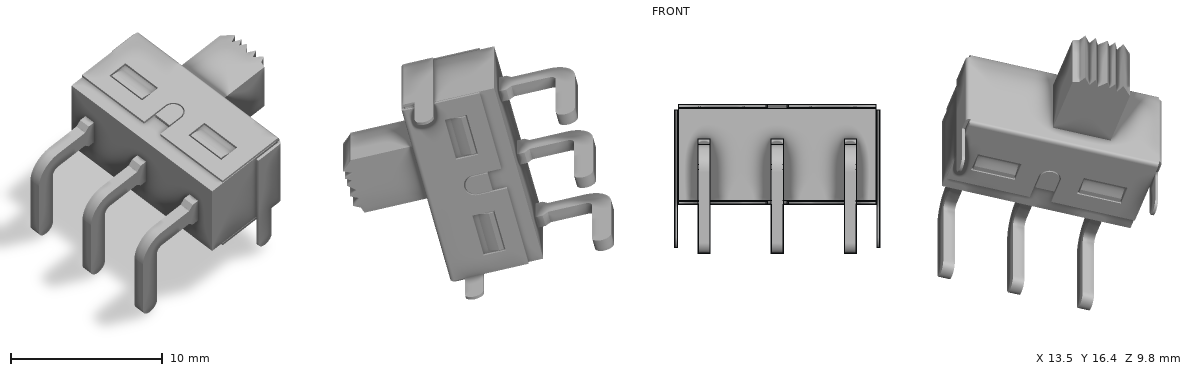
import cadquery as cq


frame_length = 13.5
frame_height = 6.58
sheet = 0.2
clearance = 0.058
wall = sheet + clearance
bend_radius = 0.26
flap_reach = 5.31

tab_reach = 2.22
tab_height = 5.85
leg_width = 1.25
leg_drop = 9.43

housing_length = frame_length - 2 * wall
housing_height = frame_height - 2 * wall
housing_back = 6.3

latch_offset = 3.65
window_length = 3.03
window_width = 1.5
window_start = 2.6
bump_length = 2.8
bump_start = window_start + 0.36
ramp_run = 0.72
bump_flat = 0.31
bump_rise = wall

slot_width = 1.5
boss_width = 1.3
slot_start = window_start
boss_start = slot_start + (slot_width - boss_width) / 2
boss_end = 4.36
boss_rise = wall

lever_reach = 5.0
lever_left = -3.17
lever_width = 3.98
lever_height = 3.98
lever_break = [
    (0, 0.7), (0.16, 0.56), (0.67, 0), (0.94, 0.61), (1.23, 0), (1.5, 0.46), (1.76, 0),
    (2.27, 0.56), (2.58, 0), (2.85, 0.56), (3.3, 0), (3.55, 0.48), (lever_width, 0.63),
]

pin_pitch = 4.8
pin_thickness = 0.79
pin_width = 1.3
pin_reach = 5.15
pin_drop = 9.8
pin_inner_radius = 0.5
pin_outer_radius = pin_inner_radius + pin_width
shoulder_height = 2.0
shoulder_length = 0.5
shoulder_taper = 0.35


def block(x_range, y_range, z_range):
    """Box given by its lower and upper limit along each axis."""
    (x0, x1), (y0, y1), (z0, z1) = x_range, y_range, z_range
    return cq.Workplane("XY").box(x1 - x0, y1 - y0, z1 - z0, centered=False).translate((x0, y0, z0))


def centered(size):
    """Limits of a span centred on zero."""
    return -size / 2, size / 2


def channel(length, reach, height):
    """Sheet bent into a U around the X axis, with its web at Y = 0 and its legs reaching to -Y."""
    outer = block(centered(length), (-reach, 0), centered(height))
    outer = outer.edges("|X and >Y").fillet(bend_radius)
    inner = block(centered(length), (-reach, -sheet), centered(height - 2 * sheet))
    inner = inner.edges("|X and >Y").fillet(bend_radius - sheet)
    return outer.cut(inner)


def round_ended(width, start, end, z_range):
    """Upright slug from start to end behind the front plate, with a half-round front."""
    radius = width / 2
    z0, z1 = z_range
    return (
        cq.Workplane("XY", origin=(0, 0, z0))
        .moveTo(-radius, -end)
        .lineTo(-radius, -start - radius)
        .threePointArc((0, -start), (radius, -start - radius))
        .lineTo(radius, -end)
        .close()
        .extrude(z1 - z0)
    )


def leg(x0):
    """Mounting leg under a side tab, flush with the tab's rear edge and rounded at its tip."""
    radius = leg_width / 2
    tip = frame_height / 2 - leg_drop
    return (
        cq.Workplane("YZ", origin=(x0, 0, 0))
        .moveTo(-tab_reach, 0)
        .lineTo(-tab_reach, tip + radius)
        .threePointArc((-tab_reach + radius, tip), (-tab_reach + leg_width, tip + radius))
        .lineTo(-tab_reach + leg_width, 0)
        .close()
        .extrude(sheet)
    )


def make_frame():
    """Top and bottom flaps, side tabs and legs, cut for the latches, bosses and lever."""
    flaps = channel(housing_length, flap_reach, frame_height)
    side_tabs = channel(tab_height, tab_reach, frame_length).rotate((0, 0, 0), (0, 1, 0), 90)
    frame = flaps.union(side_tabs)
    for leg_x in (-frame_length / 2, frame_length / 2 - sheet):
        frame = frame.union(leg(leg_x))
    window_y = (-window_start - window_width, -window_start)
    for x in (-latch_offset, latch_offset):
        window_x = (x - window_length / 2, x + window_length / 2)
        frame = frame.cut(block(window_x, window_y, centered(frame_height)))
    frame = frame.cut(round_ended(slot_width, slot_start, flap_reach, centered(frame_height)))
    lever_x = (lever_left, lever_left + lever_width)
    return frame.cut(block(lever_x, (-sheet, 0), centered(lever_height)))


def make_lever():
    """Square lever with a ragged outer end, rooted in the front of the housing."""
    outline = [(lever_left + x, lever_reach - depth) for x, depth in lever_break]
    return (
        cq.Workplane("XY", origin=(0, 0, -lever_height / 2))
        .moveTo(lever_left, -wall)
        .polyline(outline, includeCurrent=True)
        .lineTo(lever_left + lever_width, -wall)
        .close()
        .extrude(lever_height)
    )


def make_bump(x):
    """Latch bump on the housing top: a ramp rising toward the pins, then a flat."""
    top = housing_height / 2
    return (
        cq.Workplane("YZ", origin=(x - bump_length / 2, 0, 0))
        .moveTo(-bump_start, top)
        .lineTo(-bump_start - ramp_run, top + bump_rise)
        .lineTo(-bump_start - ramp_run - bump_flat, top + bump_rise)
        .lineTo(-bump_start - ramp_run - bump_flat, top)
        .close()
        .extrude(bump_length)
    )


def make_pin(x):
    """Shouldered flat pin leaving the housing toward -Y and bending down to a rounded tip."""
    half = pin_width / 2
    shoulder = shoulder_height / 2
    end = -housing_back - pin_reach
    tip = frame_height / 2 - pin_drop
    neck = -housing_back - shoulder_length
    return (
        cq.Workplane("YZ", origin=(x - pin_thickness / 2, 0, 0))
        .moveTo(-housing_back, shoulder)
        .lineTo(neck, shoulder)
        .lineTo(neck - shoulder_taper, half)
        .lineTo(end + pin_outer_radius, half)
        .radiusArc((end, half - pin_outer_radius), -pin_outer_radius)
        .lineTo(end, tip + half)
        .threePointArc((end + half, tip), (end + pin_width, tip + half))
        .lineTo(end + pin_width, -half - pin_inner_radius)
        .radiusArc((end + pin_outer_radius, -half), pin_inner_radius)
        .lineTo(neck - shoulder_taper, -half)
        .lineTo(neck, -shoulder)
        .lineTo(-housing_back, -shoulder)
        .close()
        .extrude(pin_thickness)
    )


def make_switch_body():
    """Housing with its lever, pins, latch bumps and locating bosses as one solid."""
    body = block(centered(housing_length), (-housing_back, -wall), centered(housing_height))
    body = body.union(make_lever())
    for x in (-pin_pitch, 0, pin_pitch):
        body = body.union(make_pin(x))
    for x in (-latch_offset, latch_offset):
        bump = make_bump(x)
        body = body.union(bump).union(bump.mirror("XY"))
    boss_z = centered(housing_height + 2 * boss_rise)
    return body.union(round_ended(boss_width, boss_start, boss_end, boss_z))


frame = make_frame()
switch_body = make_switch_body()
result = cq.Compound.makeCompound([frame.solids().val(), switch_body.solids().val()])